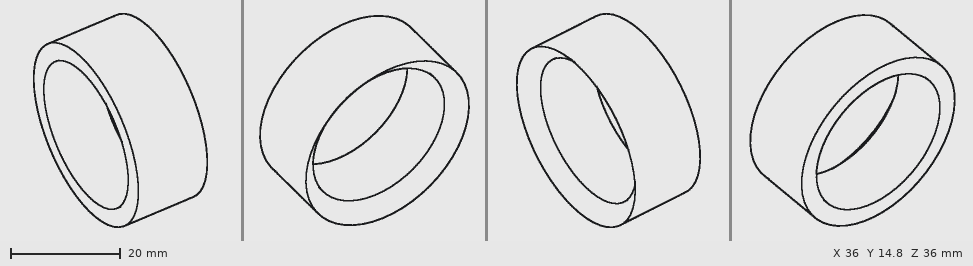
import cadquery as cq

OUTER_DIAMETER = 36.0
BORE_DIAMETER = 29.0
WIDTH = 14.8

STRAIGHT_BORE_LENGTH = 12.0

OUTER_RADIUS = OUTER_DIAMETER / 2
BORE_RADIUS = BORE_DIAMETER / 2
FRONT_Y = -WIDTH / 2
RIM_Y = WIDTH / 2
FLARE_START_Y = FRONT_Y + STRAIGHT_BORE_LENGTH


def wall_section():
    """Cross-section of the wall in the YZ plane, on the +Z side of the axis."""
    return (
        cq.Workplane("YZ")
        .moveTo(FRONT_Y, BORE_RADIUS)
        .lineTo(FRONT_Y, OUTER_RADIUS)
        .lineTo(RIM_Y, OUTER_RADIUS)
        .lineTo(FLARE_START_Y, BORE_RADIUS)
        .close()
    )


def make_ring():
    """Revolve the wall section a full turn about the Y axis."""
    axis_start = (0, 0)
    axis_end = (1, 0)
    return wall_section().revolve(360, axis_start, axis_end)


result = make_ring()